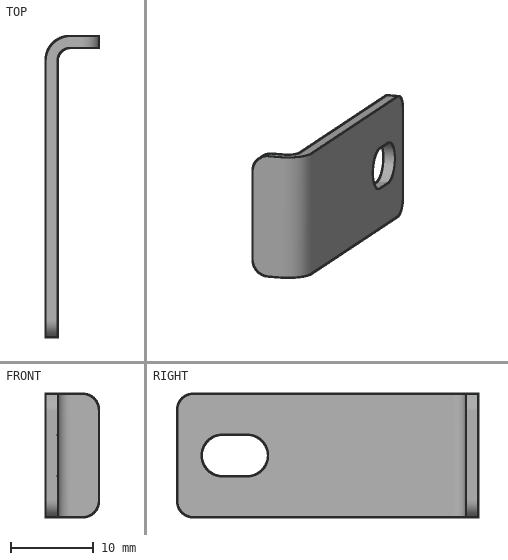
import cadquery as cq

thickness = 1.5
plate_length = 36.5
flange_length = 6.5
width = 15.0
inner_bend_radius = 1.5
corner_radius = 2.0
slot_length = 8.0
slot_width = 5.0
slot_end_margin = 3.0

outer_bend_radius = inner_bend_radius + thickness
slot_center_y = slot_end_margin + slot_length / 2


def bent_strip():
    """L-shaped strip with sharp free corners; its plate starts at Y = 0."""
    outer_bend_start = plate_length - outer_bend_radius
    return (
        cq.Workplane("XY")
        .moveTo(0, 0)
        .lineTo(0, outer_bend_start)
        .radiusArc((outer_bend_radius, plate_length), outer_bend_radius)
        .lineTo(flange_length, plate_length)
        .lineTo(flange_length, plate_length - thickness)
        .lineTo(outer_bend_radius, plate_length - thickness)
        .radiusArc((thickness, outer_bend_start), -inner_bend_radius)
        .lineTo(thickness, 0)
        .close()
        .extrude(width / 2, both=True)
    )


def round_free_corners(strip):
    """Round the corners at the free ends of the plate and the flange."""
    plate_rounded = strip.faces("<Y").edges("|X").fillet(corner_radius)
    return plate_rounded.faces(">X").edges("|Y").fillet(corner_radius)


def slot_cutter():
    """Obround slot, long along Y, through the plate thickness."""
    return (
        cq.Workplane("YZ")
        .center(slot_center_y, 0)
        .slot2D(slot_length, slot_width)
        .extrude(thickness)
    )


result = round_free_corners(bent_strip()).cut(slot_cutter())